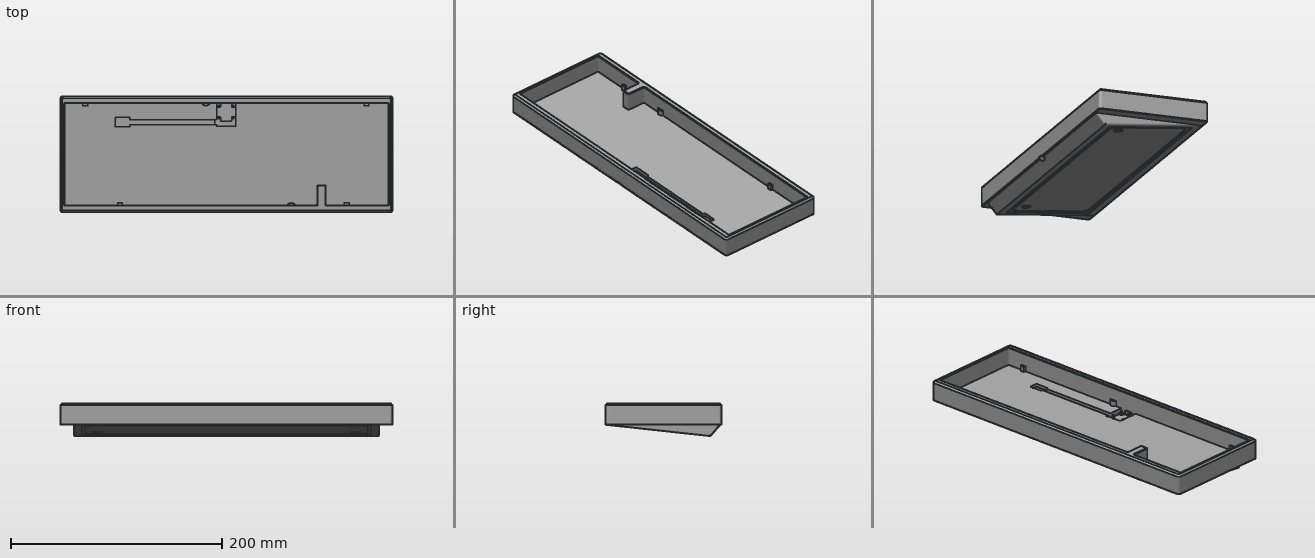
import cadquery as cq
import math

LENGTH = 314.8
WIDTH = 110.2
TOTAL_HEIGHT = 31.2
BODY_HEIGHT = 20.5
CORNER_RADIUS = 2.8
RIM_CHAMFER = 2.0
BASE_CHAMFER = 0.5

CAVITY_LENGTH = 306.5
CAVITY_WIDTH = 96.5
CAVITY_CORNER_RADIUS = 1.0
INNER_RIM_CHAMFER = 0.5
FLOOR_Z = 2.2

BLOCK_X = 90.0
BLOCK_WIDTH = 8.2
BLOCK_REACH = 19.2
BLOCK_RADIUS = 1.3

SUPPORT_HEIGHT = 5.5
SUPPORT_REACH = 2.2
SQUARE_SUPPORT_WIDTH = 4.5
ROUND_SUPPORT_DIAMETER = 8.5
BACK_SQUARE_XS = (-133.8, 132.5)
FRONT_SQUARE_XS = (-100.7, 114.0)
BACK_ROUND_X = -19.5
FRONT_ROUND_X = 61.5

WEDGE_LENGTH = 289.0
WEDGE_FRONT_Y = -54.0
WEDGE_HEEL_Y = 44.5
WEDGE_BACK_Y = 53.5
WEDGE_EDGE_RADIUS = 1.5

LIP_INSET = 7.5
LIP_DEPTH = 0.3
LIP_WIDTH = 3.0
LIP_RADIUS = 1.5
RECESS_DEPTH = 1.3
RECESS_RADIUS = 7.0
DIMPLE_DIAMETER = 8.5
DIMPLE_DEPTH = 0.5
DIMPLE_SPACING = 244.2
DIMPLE_FROM_HEEL = 22.0

POCKET_X = -0.3
POCKET_LENGTH = 18.3
POCKET_FRONT_Y = 26.5
POCKET_RADIUS = 0.8
POCKET_DEPTH = 4.0
CHANNEL_MOUTH = 2.0

WELL_DEPTH = 5.0
WELL_FRONT_Y = 31.2
WELL_RADIUS = 2.0
PAD_ROUND_DIAMETER = 2.5
PIN_DIAMETER = 1.6
PIN_HEIGHT = 2.5
PIN_FROM_WALL = 2.5
FRONT_PIN_Y = 34.3

OPENING_WIDTH = 9.0
OPENING_HEIGHT = 3.8
OPENING_Z = -0.3
OPENING_OVERLAP = 1.5

CHANNEL_Y = 30.5
CHANNEL_WIDTH = 4.7
CHANNEL_DEPTH = 3.0
END_X = -98.5
END_LENGTH = 14.0
END_WIDTH = 8.8

PICK_MARGIN = 0.3

cavity_back_y = CAVITY_WIDTH / 2
wedge_depth = TOTAL_HEIGHT - BODY_HEIGHT
slope_run = WEDGE_HEEL_Y - WEDGE_FRONT_Y
slope_length = math.hypot(slope_run, wedge_depth)
pocket_left_x = POCKET_X - POCKET_LENGTH / 2
pocket_floor_z = FLOOR_Z - POCKET_DEPTH
well_floor_z = FLOOR_Z - WELL_DEPTH


def box(x_range, y_range, z_range):
    sizes = [high - low for low, high in (x_range, y_range, z_range)]
    corner = (x_range[0], y_range[0], z_range[0])
    return cq.Workplane("XY", origin=corner).box(*sizes, centered=False)


def spread(centre, size):
    return (centre - size / 2, centre + size / 2)


def box_around(x_range, y_range, z_range):
    ranges = (x_range, y_range, z_range)
    low_corner = [low - PICK_MARGIN for low, high in ranges]
    high_corner = [high + PICK_MARGIN for low, high in ranges]
    return cq.selectors.BoxSelector(low_corner, high_corner)


def make_body():
    body = box(spread(0, LENGTH), spread(0, WIDTH), (0, BODY_HEIGHT))
    body = body.edges("|Z").fillet(CORNER_RADIUS)
    body = body.faces(">Z").chamfer(RIM_CHAMFER)
    return body.faces("<Z").chamfer(BASE_CHAMFER)


def make_wedge():
    overlap = 1 + FLOOR_Z / wedge_depth
    heel = (WEDGE_HEEL_Y, -wedge_depth)
    front = (WEDGE_HEEL_Y - slope_run * overlap, FLOOR_Z)
    back = (WEDGE_HEEL_Y + (WEDGE_BACK_Y - WEDGE_HEEL_Y) * overlap, FLOOR_Z)
    wedge = cq.Workplane("YZ").polyline([front, heel, back]).close()
    wedge = wedge.extrude(WEDGE_LENGTH / 2, both=True)
    wedge = wedge.faces("<X or >X").edges("not |Y").fillet(WEDGE_EDGE_RADIUS)
    return wedge.intersect(box(spread(0, LENGTH), spread(0, WIDTH), (-wedge_depth, 0)))


def make_underside_recess():
    slope = cq.Workplane(cq.Plane(
        origin=(0, WEDGE_HEEL_Y, -wedge_depth),
        xDir=(1, 0, 0),
        normal=(0, -wedge_depth, -slope_run),
    ))

    def inset_pocket(inset, depth, radius):
        sketch = cq.Sketch().rect(WEDGE_LENGTH - 2 * inset, slope_length - 2 * inset)
        sketch = sketch.vertices().fillet(radius)
        return slope.center(0, slope_length / 2).placeSketch(sketch).extrude(-depth)

    lip = inset_pocket(LIP_INSET, LIP_DEPTH, LIP_RADIUS)
    recess = inset_pocket(LIP_INSET + LIP_WIDTH, RECESS_DEPTH, RECESS_RADIUS)
    dimples = slope.pushPoints([(side * DIMPLE_SPACING / 2, DIMPLE_FROM_HEEL) for side in (-1, 1)])
    dimples = dimples.circle(DIMPLE_DIAMETER / 2).extrude(-RECESS_DEPTH - DIMPLE_DEPTH)
    return lip.union(recess).union(dimples)


def make_supports():
    z_range = (FLOOR_Z, FLOOR_Z + SUPPORT_HEIGHT)
    round_inset = ROUND_SUPPORT_DIAMETER / 2 - SUPPORT_REACH
    supports = cq.Workplane()
    for side, square_xs, round_x in (
        (1, BACK_SQUARE_XS, BACK_ROUND_X),
        (-1, FRONT_SQUARE_XS, FRONT_ROUND_X),
    ):
        wall_y = side * cavity_back_y
        for x in square_xs:
            supports = supports.add(
                box(spread(x, SQUARE_SUPPORT_WIDTH), spread(wall_y, 2 * SUPPORT_REACH), z_range)
            )
        post = cq.Workplane("XY", origin=(round_x, wall_y + side * round_inset, FLOOR_Z))
        supports = supports.add(post.circle(ROUND_SUPPORT_DIAMETER / 2).extrude(SUPPORT_HEIGHT))
    return supports.combine()


def make_cavity():
    z_range = (FLOOR_Z, BODY_HEIGHT)
    cavity = box(spread(0, CAVITY_LENGTH), spread(0, CAVITY_WIDTH), z_range)
    cavity = cavity.edges("|Z").fillet(CAVITY_CORNER_RADIUS)
    block_y_range = (-cavity_back_y, -cavity_back_y + BLOCK_REACH)
    cavity = cavity.cut(box(spread(BLOCK_X, BLOCK_WIDTH), block_y_range, z_range))
    around_block = box_around(spread(BLOCK_X, BLOCK_WIDTH), block_y_range, z_range)
    cavity = cavity.edges("|Z").edges(around_block).fillet(BLOCK_RADIUS)
    return cavity


def make_pocket():
    z_range = (pocket_floor_z, FLOOR_Z)
    pocket = box(spread(POCKET_X, POCKET_LENGTH), (POCKET_FRONT_Y, cavity_back_y), z_range)
    mouth_x_range = (pocket_left_x - CHANNEL_MOUTH, POCKET_X)
    pocket = pocket.union(box(mouth_x_range, spread(CHANNEL_Y, CHANNEL_WIDTH), z_range))
    return pocket.edges("|Z").edges("not (<X or >Y)").fillet(POCKET_RADIUS)


def make_channel():
    z_range = (FLOOR_Z - CHANNEL_DEPTH, FLOOR_Z)
    channel = box((END_X, pocket_left_x - CHANNEL_MOUTH), spread(CHANNEL_Y, CHANNEL_WIDTH), z_range)
    end_pocket = box(spread(END_X, END_LENGTH), spread(CHANNEL_Y, END_WIDTH), z_range)
    return end_pocket.union(channel).edges("|Z").edges("not >X").fillet(POCKET_RADIUS)


def make_well():
    z_range = (well_floor_z, FLOOR_Z)
    pad_reach = PIN_FROM_WALL + PAD_ROUND_DIAMETER / 2
    wide_y_range = (FRONT_PIN_Y + PAD_ROUND_DIAMETER / 2, cavity_back_y - pad_reach)
    tongue_width = POCKET_LENGTH - 2 * pad_reach
    tongue = box(spread(POCKET_X, tongue_width), (WELL_FRONT_Y, cavity_back_y), z_range)
    tongue = tongue.edges("|Z and <Y").fillet(WELL_RADIUS)
    well = tongue.union(box(spread(POCKET_X, POCKET_LENGTH), wide_y_range, z_range))
    pad_corners = box_around(spread(POCKET_X, tongue_width), wide_y_range, z_range)
    return well.edges("|Z").edges(pad_corners).fillet(PAD_ROUND_DIAMETER / 2)


def make_pins():
    reach = POCKET_LENGTH / 2 - PIN_FROM_WALL
    centres = [
        (POCKET_X + side * reach, y)
        for side in (-1, 1)
        for y in (FRONT_PIN_Y, cavity_back_y - PIN_FROM_WALL)
    ]
    pins = cq.Workplane("XY", origin=(0, 0, pocket_floor_z)).pushPoints(centres)
    return pins.circle(PIN_DIAMETER / 2).extrude(PIN_HEIGHT)


def make_opening():
    start = cq.Workplane("XZ", origin=(POCKET_X, WIDTH / 2, OPENING_Z))
    length = WIDTH / 2 - cavity_back_y + OPENING_OVERLAP
    return start.slot2D(OPENING_WIDTH, OPENING_HEIGHT).extrude(length)


def chamfer_inner_rim(case):
    top = (BODY_HEIGHT, BODY_HEIGHT)
    inner_rim = box_around(spread(0, CAVITY_LENGTH), spread(0, CAVITY_WIDTH), top)
    return case.edges(inner_rim).chamfer(INNER_RIM_CHAMFER)


case = make_body().union(make_wedge()).cut(make_cavity())
case = chamfer_inner_rim(case)
case = case.union(make_supports())
for cutter in (
    make_underside_recess(),
    make_pocket(),
    make_channel(),
    make_well(),
    make_opening(),
):
    case = case.cut(cutter)

result = case.union(make_pins())